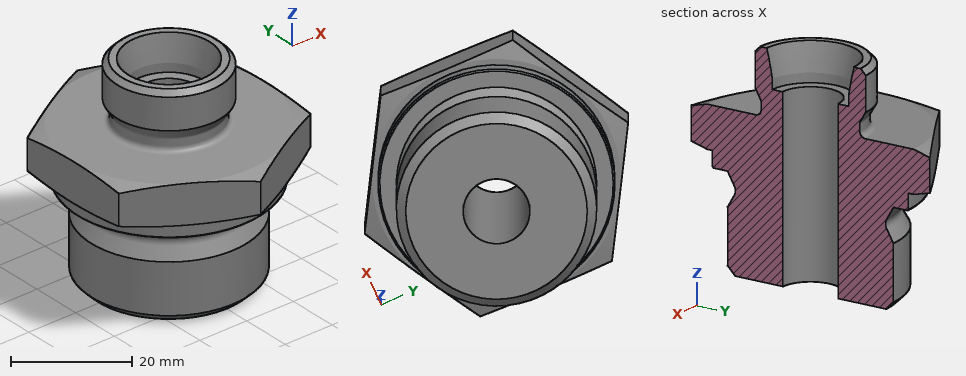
import cadquery as cq
import math

corner_diameter = 47.35
flat_width = corner_diameter * math.cos(math.radians(30))
hex_bottom = 21.0
hex_top = 28.95
hex_chamfer_angle = 15.0
envelope_margin = 0.45

total_height = flat_width

large_radius = 33.0 / 2
large_chamfer = 1.55
groove_bottom = 11.8
groove_arc_radius = 1.5
groove_flank_angle = math.radians(30)

collar_radius = 39.0 / 2
collar_bottom = 18.0
collar_chamfer = 0.3

small_radius = 22.0 / 2
small_chamfer = (22.0 - 20.0) / 2
neck_radius = 19.7 / 2
neck_top = 31.3
neck_fillet = 1.0
neck_flank_angle = math.radians(30)

through_radius = 11.0 / 2
socket_radius = 15.0 / 2
mouth_radius = 17.25 / 2
mouth_half_angle = math.radians(12)
socket_depth = 7.0


def turned_body():
    """Revolve the outer profile of the threads, groove, collar and neck."""
    groove_middle = (groove_bottom + collar_bottom) / 2
    arc_half_height = groove_arc_radius * math.sin(groove_flank_angle)
    flank_height = groove_middle - groove_bottom - arc_half_height
    arc_end_radius = large_radius - flank_height * math.tan(groove_flank_angle)
    groove_radius = arc_end_radius - groove_arc_radius * (1 - math.cos(groove_flank_angle))

    fillet_end_radius = neck_radius + neck_fillet * (1 - math.cos(neck_flank_angle))
    fillet_end_height = neck_top + neck_fillet * math.sin(neck_flank_angle)
    small_thread_bottom = (
        fillet_end_height + (small_radius - fillet_end_radius) / math.tan(neck_flank_angle)
    )

    profile = (
        cq.Workplane("XZ")
        .lineTo(large_radius - large_chamfer, 0)
        .lineTo(large_radius, large_chamfer)
        .lineTo(large_radius, groove_bottom)
        .lineTo(arc_end_radius, groove_middle - arc_half_height)
        .threePointArc((groove_radius, groove_middle), (arc_end_radius, groove_middle + arc_half_height))
        .lineTo(large_radius, collar_bottom)
        .lineTo(collar_radius - collar_chamfer, collar_bottom)
        .lineTo(collar_radius, collar_bottom + collar_chamfer)
        .lineTo(collar_radius, hex_top)
        .lineTo(neck_radius + neck_fillet, hex_top)
        .radiusArc((neck_radius, hex_top + neck_fillet), neck_fillet)
        .lineTo(neck_radius, neck_top)
        .radiusArc((fillet_end_radius, fillet_end_height), neck_fillet)
        .lineTo(small_radius, small_thread_bottom)
        .lineTo(small_radius, total_height - small_chamfer)
        .lineTo(small_radius - small_chamfer, total_height)
        .lineTo(0, total_height)
        .close()
    )
    return profile.revolve(360, (0, 0, 0), (0, 1, 0))


def chamfered_hexagon():
    """Hexagonal prism with its corners turned off conically at both ends."""
    prism = (
        cq.Workplane("XY", origin=(0, 0, hex_bottom))
        .polygon(6, corner_diameter)
        .extrude(hex_top - hex_bottom)
        .rotate((0, 0, 0), (0, 0, 1), 30)
    )
    flat_radius = flat_width / 2
    envelope_radius = corner_diameter / 2 + envelope_margin
    drop = (envelope_radius - flat_radius) * math.tan(math.radians(hex_chamfer_angle))
    envelope = (
        cq.Workplane("XZ")
        .moveTo(0, hex_bottom)
        .lineTo(flat_radius, hex_bottom)
        .lineTo(envelope_radius, hex_bottom + drop)
        .lineTo(envelope_radius, hex_top - drop)
        .lineTo(flat_radius, hex_top)
        .lineTo(0, hex_top)
        .close()
        .revolve(360, (0, 0, 0), (0, 1, 0))
    )
    return prism.intersect(envelope)


def stepped_bore():
    """Through bore, tube socket and tapered mouth as one cutting body."""
    mouth_depth = (mouth_radius - socket_radius) / math.tan(mouth_half_angle)
    return (
        cq.Workplane("XZ")
        .lineTo(through_radius, 0)
        .lineTo(through_radius, total_height - socket_depth)
        .lineTo(socket_radius, total_height - socket_depth)
        .lineTo(socket_radius, total_height - mouth_depth)
        .lineTo(mouth_radius, total_height)
        .lineTo(0, total_height)
        .close()
        .revolve(360, (0, 0, 0), (0, 1, 0))
    )


result = turned_body().union(chamfered_hexagon()).cut(stepped_bore())